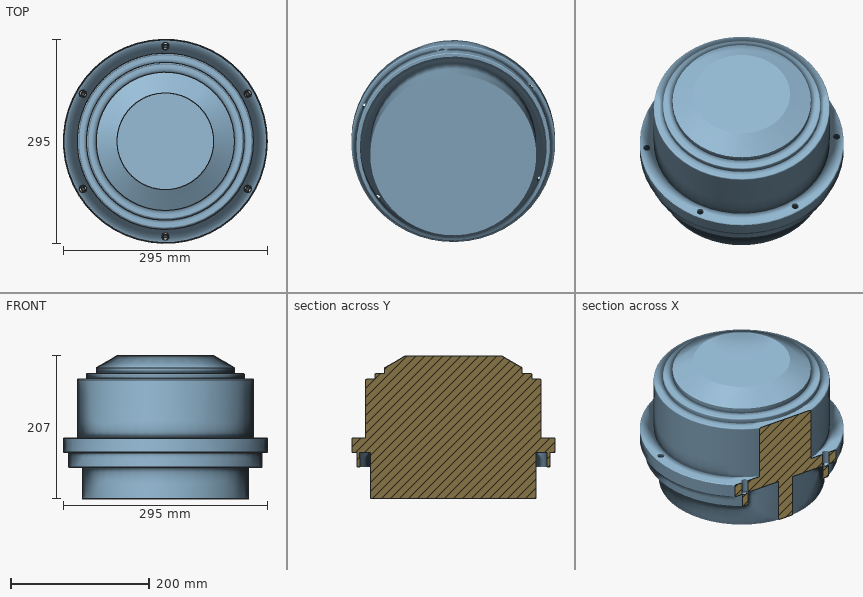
import cadquery as cq
import math

base_radius = 120.0
sleeve_outer_radius = 140.0
sleeve_wall = 5.0
flange_radius = 147.5
body_radius = 127.5
step_radius = 114.2
cap_radius = 100.0
cap_top_radius = 70.0

sleeve_bottom_z = 45.5
flange_bottom_z = 67.0
flange_top_z = 88.2
body_top_z = 173.5
step_top_z = 181.5
cap_edge_z = 189.7
total_height = 207.0

body_fillet = 2.0
flange_chamfer = 1.0
sleeve_chamfer = 1.0

screw_count = 6
first_screw_angle = 90
clearance_diameter = 10.0
dimple_diameter = 6.2
drill_point_angle = 118

sleeve_inner_radius = sleeve_outer_radius - sleeve_wall
screw_circle_radius = sleeve_outer_radius - sleeve_wall / 2


def round_step(radius, bottom_z, top_z):
    """Plain round step on the Z axis."""
    return cq.Workplane("XY").workplane(offset=bottom_z).circle(radius).extrude(top_z - bottom_z)


def chamfered_step(radius, bottom_z, top_z, chamfer):
    """Round step with both rims chamfered."""
    return round_step(radius, bottom_z, top_z).edges().chamfer(chamfer)


def rounded_step(radius, bottom_z, top_z):
    """Round step with its top rim rounded over."""
    return round_step(radius, bottom_z, top_z).faces(">Z").edges().fillet(body_fillet)


def sleeve():
    """Thin tube hanging under the flange around the base, its outer rims chamfered."""
    tube = chamfered_step(sleeve_outer_radius, sleeve_bottom_z, flange_bottom_z, sleeve_chamfer)
    bore = round_step(sleeve_inner_radius, sleeve_bottom_z, flange_bottom_z)
    return tube.cut(bore)


def cap():
    """Short cylinder that tapers to a flat top."""
    profile = [
        (0, step_top_z),
        (cap_radius, step_top_z),
        (cap_radius, cap_edge_z),
        (cap_top_radius, total_height),
        (0, total_height),
    ]
    return cq.Workplane("XZ").polyline(profile).close().revolve(360, (0, 0, 0), (0, 1, 0))


def screw_hole():
    """Cutter on the Z axis: clearance hole in the flange, drill-point dimple in the sleeve below."""
    clearance_radius = clearance_diameter / 2
    dimple_radius = dimple_diameter / 2
    dimple_depth = dimple_radius / math.tan(math.radians(drill_point_angle / 2))
    profile = [
        (0, flange_top_z),
        (clearance_radius, flange_top_z),
        (clearance_radius, flange_bottom_z),
        (dimple_radius, flange_bottom_z),
        (0, flange_bottom_z - dimple_depth),
    ]
    return cq.Workplane("XZ").polyline(profile).close().revolve(360, (0, 0, 0), (0, 1, 0))


result = (
    round_step(base_radius, 0, flange_bottom_z)
    .union(sleeve())
    .union(chamfered_step(flange_radius, flange_bottom_z, flange_top_z, flange_chamfer))
    .union(rounded_step(body_radius, flange_top_z, body_top_z))
    .union(rounded_step(step_radius, body_top_z, step_top_z))
    .union(cap())
)

for index in range(screw_count):
    angle = math.radians(first_screw_angle + 360 * index / screw_count)
    hole_x = screw_circle_radius * math.cos(angle)
    hole_y = screw_circle_radius * math.sin(angle)
    result = result.cut(screw_hole().translate((hole_x, hole_y, 0)))